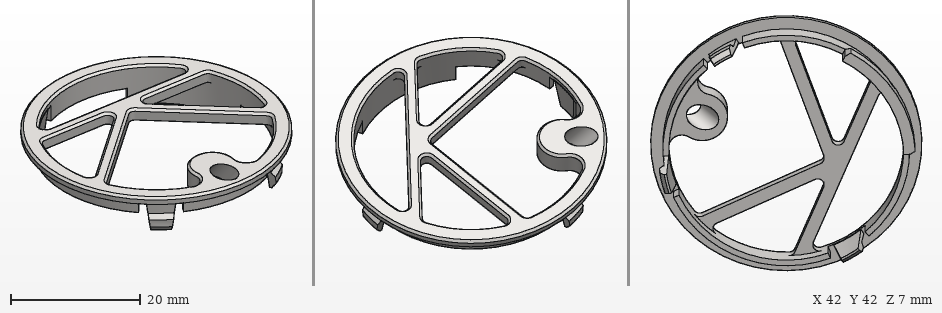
import cadquery as cq
import math

flange_depth = 1.2
bar_depth = 2.0
boss_depth = 3.6
skirt_depth = 4.0
total_depth = 7.0

flange_radius = 21.0
skirt_radius = 19.1
opening_radius = 18.2
edge_chamfer = 0.4

symmetry_angle = -36.0

bar_width = 2.0
stem_u = -9.0
arm_apex_u = -8.0
arm_angle = 48.0
corner_radius = 1.0

boss_u = 14.05
boss_radius = 3.9
boss_blend_radius = 2.0
hole_u = 17.05
hole_radius = 1.97
hole_tilt = 40.0

clip_angles = (0.0, 180.0, -72.0)
slot_half_angle = 10.6
clip_top_half_width = 2.48
clip_bottom_half_width = 1.6
clip_top_inner_radius = 18.25
clip_bottom_inner_radius = 18.75
clip_hook_radius = 19.82
clip_hook_top = 4.75
clip_hook_bottom = 6.05

wide_hook_half_angle = 30.0
wide_hook_radius = 20.0
wide_hook_ledge_top = 5.0

reach = 2 * flange_radius


def disc(radius, top, bottom):
    """Solid disc between two depths below the top face."""
    return cq.Workplane("XY").workplane(offset=-bottom).circle(radius).extrude(bottom - top)


def ring(top, bottom):
    """Wall of the skirt between two depths."""
    return disc(skirt_radius, top, bottom).cut(disc(opening_radius, top, bottom))


def revolved(profile):
    """Full ring swept around the Z axis from (radius, height) points."""
    return cq.Workplane("XZ").polyline(profile).close().revolve(360, (0, 0), (0, 1))


def sector(centre_angle, half_angle, top, bottom):
    """Wedge with its tip on the Z axis, between two depths."""
    corners = [(0, 0)]
    for angle in (centre_angle - half_angle, centre_angle + half_angle):
        corners.append((reach * math.cos(math.radians(angle)), reach * math.sin(math.radians(angle))))
    return cq.Workplane("XY").workplane(offset=-bottom).polyline(corners).close().extrude(bottom - top)


def prism_below_top(outline):
    """Full-depth prism hanging from the top face."""
    return cq.Workplane("XY").workplane(offset=-total_depth).polyline(outline).close().extrude(total_depth)


def clipped_to_rim(outline):
    """Full-depth prism kept inside the opening radius."""
    return prism_below_top(outline).intersect(disc(opening_radius, 0, total_depth))


def arm_edge_u(side):
    """Where an arm's edge line crosses the symmetry line; side is -1 or +1."""
    return arm_apex_u + side * bar_width / 2 / math.sin(math.radians(arm_angle))


arm_slope = math.tan(math.radians(arm_angle))
stem_left = stem_u - bar_width / 2
stem_right = stem_u + bar_width / 2


def segment_opening():
    """Circle segment behind the stem."""
    outline = [(-reach, -reach), (stem_left, -reach), (stem_left, reach), (-reach, reach)]
    return clipped_to_rim(outline).edges("|Z").fillet(corner_radius)


def side_opening(side):
    """Opening between the stem and one arm; side is -1 or +1."""
    stem_v = arm_slope * (stem_right - arm_edge_u(-1))
    far_v = arm_slope * (reach - arm_edge_u(-1))
    outline = [(stem_right, side * stem_v), (reach, side * far_v), (stem_right, side * far_v)]
    return clipped_to_rim(outline).edges("|Z").fillet(corner_radius)


def boss_footprint():
    """Boss joined to the rim by concave arcs tangent to both."""
    centre_distance = boss_radius + boss_blend_radius
    blend_distance = opening_radius - boss_blend_radius
    blend_u = (blend_distance**2 + boss_u**2 - centre_distance**2) / (2 * boss_u)
    blend_v = math.sqrt(blend_distance**2 - blend_u**2)
    rim_u = reach * blend_u / blend_distance
    rim_v = reach * blend_v / blend_distance
    neck_outline = [(boss_u, 0), (blend_u, blend_v), (rim_u, rim_v), (rim_u, -rim_v), (blend_u, -blend_v)]
    neck = prism_below_top(neck_outline)
    blend = disc(boss_blend_radius, 0, total_depth)
    post = disc(boss_radius, 0, total_depth).translate((boss_u, 0, 0))
    for side in (-1, 1):
        neck = neck.cut(blend.translate((blend_u, side * blend_v, 0)))
    return neck.union(post)


def boss_opening():
    """Opening between the two arms, leaving the boss standing."""
    tip_u = arm_edge_u(1)
    far_v = arm_slope * (reach - tip_u)
    wedge = clipped_to_rim([(tip_u, 0), (reach, -far_v), (reach, far_v)])
    corners = wedge.edges("|Z").edges("<X or >Y or <Y")
    return corners.fillet(corner_radius).cut(boss_footprint())


openings = [segment_opening(), side_opening(-1), side_opening(1), boss_opening()]

body = disc(flange_radius, 0, flange_depth).union(disc(skirt_radius, 0, bar_depth))
for opening in openings:
    body = body.cut(opening)
body = body.faces(">Z").edges().chamfer(edge_chamfer)

boss = disc(skirt_radius, flange_depth, boss_depth).intersect(boss_footprint())
body = body.union(boss)

skirt = ring(flange_depth, skirt_depth)
body = body.union(skirt)

hole_length = 4 * boss_depth
hole = cq.Workplane("XY").workplane(offset=-hole_length / 2).circle(hole_radius).extrude(hole_length)
hole = hole.rotate((0, 0, 0), (0, 1, 0), hole_tilt).translate((hole_u, 0, 0))
body = body.cut(hole)
body = body.rotate((0, 0, 0), (0, 0, 1), symmetry_angle)


def clip():
    """Hooked clip on the +X side, narrowing towards its tip."""
    profile = [
        (clip_top_inner_radius, -flange_depth),
        (skirt_radius, -flange_depth),
        (skirt_radius, -skirt_depth),
        (clip_hook_radius, -clip_hook_top),
        (clip_hook_radius, -clip_hook_bottom),
        (skirt_radius, -total_depth),
        (clip_bottom_inner_radius, -total_depth),
    ]
    taper = cq.Workplane("YZ").polyline([
        (-clip_top_half_width, -flange_depth),
        (clip_top_half_width, -flange_depth),
        (clip_bottom_half_width, -total_depth),
        (-clip_bottom_half_width, -total_depth),
    ]).close().extrude(reach)
    return revolved(profile).intersect(taper)


for angle in clip_angles:
    body = body.cut(skirt.intersect(sector(angle, slot_half_angle, flange_depth, skirt_depth)))
    body = body.union(clip().rotate((0, 0, 0), (0, 0, 1), angle))


def wide_hook():
    """Extension of the skirt on the +Y side with an outward ledge between parallel ends."""
    wall = ring(skirt_depth, total_depth).intersect(sector(90, wide_hook_half_angle, skirt_depth, total_depth))
    profile = [
        (skirt_radius, -skirt_depth),
        (wide_hook_radius, -wide_hook_ledge_top),
        (wide_hook_radius, -total_depth),
        (skirt_radius, -total_depth),
    ]
    ledge_width = 2 * skirt_radius * math.sin(math.radians(wide_hook_half_angle))
    ends = cq.Workplane("XY").box(ledge_width, reach, reach, centered=(True, False, True))
    return wall.union(revolved(profile).intersect(ends))


result = body.union(wide_hook())